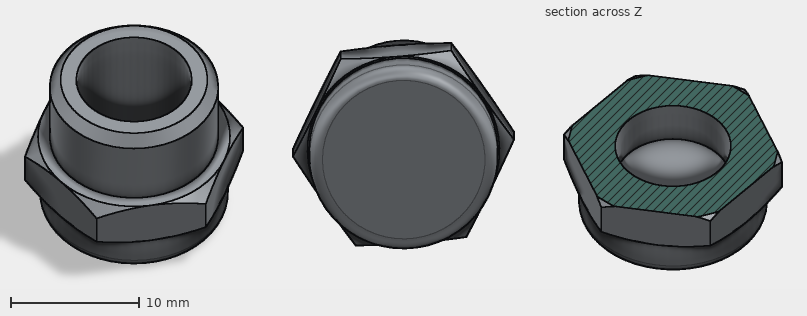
import cadquery as cq
import math

corner_diameter = 17.32
flat_width = corner_diameter * math.cos(math.radians(30))
hex_thickness = 4.0
corner_bevel_angle = 30.0

collar_diameter = 14.7
collar_height = 3.3
collar_fillet = 1.0

total_height = 13.8
spigot_diameter = 13.16
spigot_chamfer = 0.85

bore_diameter = 9.0
bore_depth = total_height - collar_height

hex_top = collar_height + hex_thickness
spigot_height = total_height - hex_top


def make_hexagon():
    """Hexagonal prism whose corners are bevelled on both faces by cones touching the flats."""
    prism = (
        cq.Workplane("XY")
        .workplane(offset=collar_height)
        .polygon(6, corner_diameter)
        .extrude(hex_thickness)
        .rotate((0, 0, 0), (0, 0, 1), 30)
    )
    flat_radius = flat_width / 2
    corner_radius = corner_diameter / 2
    bevel_drop = (corner_radius - flat_radius) * math.tan(math.radians(corner_bevel_angle))
    bevel_envelope = (
        cq.Workplane("XZ")
        .moveTo(0, collar_height)
        .lineTo(flat_radius, collar_height)
        .lineTo(corner_radius, collar_height + bevel_drop)
        .lineTo(corner_radius, hex_top - bevel_drop)
        .lineTo(flat_radius, hex_top)
        .lineTo(0, hex_top)
        .close()
        .revolve(360, (0, 0, 0), (0, 1, 0))
    )
    return prism.intersect(bevel_envelope)


def make_collar():
    """Round collar with a rounded bottom edge."""
    collar = cq.Workplane("XY").circle(collar_diameter / 2).extrude(collar_height)
    return collar.faces("<Z").edges().fillet(collar_fillet)


def make_spigot():
    """Round spigot with a chamfered top edge."""
    spigot = (
        cq.Workplane("XY")
        .workplane(offset=hex_top)
        .circle(spigot_diameter / 2)
        .extrude(spigot_height)
    )
    return spigot.faces(">Z").edges().chamfer(spigot_chamfer)


def make_bore():
    """Cylinder to be removed for the bore."""
    return (
        cq.Workplane("XY")
        .workplane(offset=total_height)
        .circle(bore_diameter / 2)
        .extrude(-bore_depth)
    )


result = make_collar().union(make_hexagon()).union(make_spigot()).cut(make_bore())